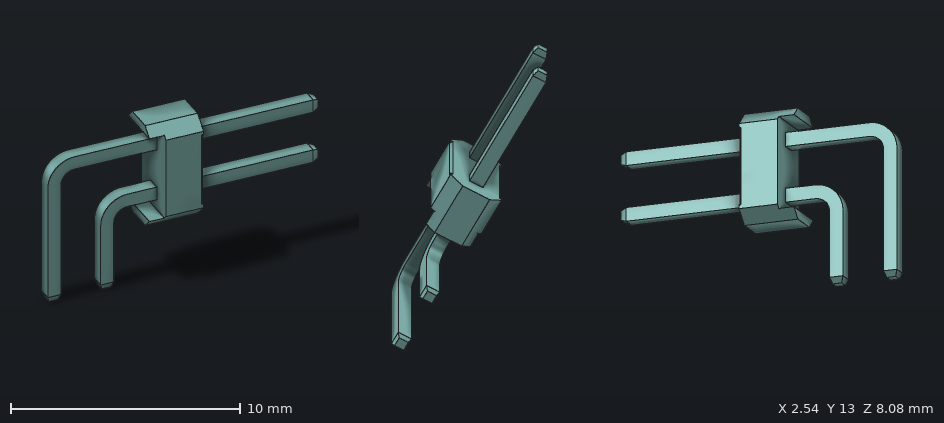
import cadquery as cq

pitch = 2.54
body_width = pitch
body_height = 2 * pitch
corner_chamfer = 0.6
body_depth = 2.53
lip_length = 0.72
lip_thickness = 0.44

relief_size = 0.1
relief_height = 3.57
relief_end_taper = 0.07

pin_width = 0.67
pin_thickness = 0.64
bend_outer_radius = 1.3
bend_inner_radius = bend_outer_radius - pin_thickness
tip_length = 0.29
tip_inset = 0.1
total_length = 13.04
total_height = 8.08
pin_back = 5.99
leg_bottom = body_height / 2 - total_height
upper_leg_front = pin_back - total_length


def relief(side):
    """Wedge along one back edge (side is -1 or 1), slightly shorter at its front."""
    half_height = relief_height / 2
    edge_x = side * body_width / 2
    wedge = (
        cq.Workplane("XY", origin=(0, 0, -half_height))
        .moveTo(edge_x, 0)
        .lineTo(edge_x - side * relief_size, 0)
        .lineTo(edge_x, -relief_size)
        .close()
        .extrude(relief_height)
    )
    outline = (
        cq.Workplane("YZ")
        .moveTo(0, -half_height)
        .lineTo(0, half_height)
        .lineTo(-relief_size, half_height - relief_end_taper)
        .lineTo(-relief_size, -half_height + relief_end_taper)
        .close()
        .extrude(body_width / 2, both=True)
    )
    return wedge.intersect(outline)


def housing():
    """Octagonal block with its front cut back between two lips."""
    block = cq.Workplane("XY").box(body_width, body_depth, body_height, centered=(True, False, True))
    block = block.translate((0, -body_depth, 0)).edges("|Y").chamfer(corner_chamfer)
    opening = cq.Workplane("XY").box(
        body_width, lip_length, body_height - 2 * lip_thickness, centered=(True, False, True)
    )
    block = block.cut(opening.translate((0, -body_depth, 0)))
    return block.cut(relief(-1)).cut(relief(1))


def tip(plane):
    """Tapered pin end growing along the plane normal; the local x axis is X."""
    return (
        cq.Workplane(plane)
        .rect(pin_width, pin_thickness)
        .workplane(offset=tip_length)
        .rect(pin_width - 2 * tip_inset, pin_thickness - 2 * tip_inset)
        .loft(ruled=True)
    )


def bent_pin(center_z, leg_front):
    """Pin running along Y at center_z, then bent down into a leg."""
    top = center_z + pin_thickness / 2
    underside = center_z - pin_thickness / 2
    leg_rear = leg_front + pin_thickness
    tail_end = pin_back - tip_length
    leg_end = leg_bottom + tip_length
    bend_y = leg_front + bend_outer_radius
    bend_z = top - bend_outer_radius
    bar = (
        cq.Workplane("YZ", origin=(-pin_width / 2, 0, 0))
        .moveTo(tail_end, top)
        .lineTo(bend_y, top)
        .radiusArc((leg_front, bend_z), -bend_outer_radius)
        .lineTo(leg_front, leg_end)
        .lineTo(leg_rear, leg_end)
        .lineTo(leg_rear, bend_z)
        .radiusArc((bend_y, underside), bend_inner_radius)
        .lineTo(tail_end, underside)
        .close()
        .extrude(pin_width)
    )
    tail_plane = cq.Plane(origin=(0, tail_end, center_z), xDir=(1, 0, 0), normal=(0, 1, 0))
    leg_plane = cq.Plane(
        origin=(0, leg_front + pin_thickness / 2, leg_end), xDir=(1, 0, 0), normal=(0, 0, -1)
    )
    return bar.union(tip(tail_plane)).union(tip(leg_plane))


upper_pin = bent_pin(pitch / 2, upper_leg_front)
lower_pin = bent_pin(-pitch / 2, upper_leg_front + pitch)
result = housing().union(upper_pin).union(lower_pin)